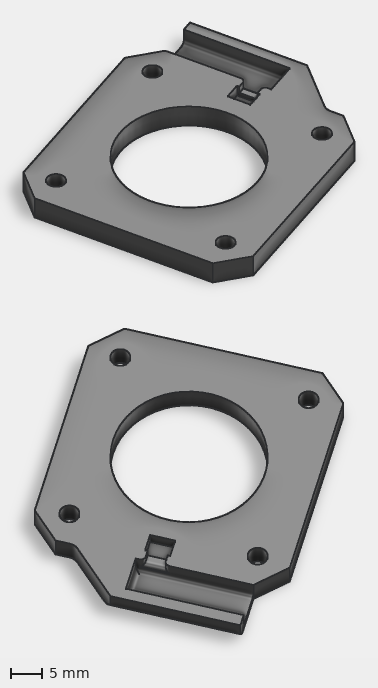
import cadquery as cq

plate_side = 42.0
plate_half = plate_side / 2
thickness = 4.0
corner_chamfer = 4.7
bore_diameter = 25.0
screw_hole_diameter = 3.2
screw_hole_spacing = 31.0

total_length = 50.0
tab_depth = total_length - plate_side
tab_left = corner_chamfer - plate_half
tab_top = plate_half + tab_depth
tab_right = 5.1
tab_slope_end = tab_right + tab_depth
slope_blend_radius = 2.0
tab_bottom_radius = 2.0

channel_right = 3.1
channel_width = 6.0
channel_floor = 1.0
channel_floor_radius = 1.0

neck_width = 3.3
neck_length = 1.9
neck_floor = 2.7
neck_lip_radius = 1.0
neck_mouth_radius = 0.8
seat_width = 4.15
seat_length = 3.05
seat_floor = 1.95


def box_between(x_min, x_max, y_min, y_max, z_min, z_max):
    """Box given by its limits along each axis."""
    return cq.Workplane("XY").box(
        x_max - x_min, y_max - y_min, z_max - z_min, centered=False
    ).translate((x_min, y_min, z_min))


def make_plate():
    return (
        cq.Workplane("XY")
        .rect(plate_side, plate_side)
        .extrude(thickness)
        .edges("|Z")
        .chamfer(corner_chamfer)
    )


def make_tab():
    return (
        cq.Workplane("XY")
        .moveTo(tab_left, plate_half)
        .lineTo(tab_left, tab_top)
        .lineTo(tab_right, tab_top)
        .lineTo(tab_slope_end, plate_half)
        .close()
        .extrude(thickness)
        .edges(">Y and <Z")
        .fillet(tab_bottom_radius)
    )


def make_channel():
    cutter = box_between(
        tab_left - channel_width, channel_right,
        plate_half, plate_half + channel_width,
        channel_floor, thickness,
    )
    return cutter.edges("<Z").fillet(channel_floor_radius)


def make_neck():
    half_width = neck_width / 2
    mouth_half = half_width + neck_mouth_radius
    neck_end = plate_half - neck_length
    plan = (
        cq.Workplane("XY")
        .moveTo(-half_width, neck_end)
        .lineTo(-half_width, plate_half - neck_mouth_radius)
        .radiusArc((-mouth_half, plate_half), -neck_mouth_radius)
        .lineTo(mouth_half, plate_half)
        .radiusArc((half_width, plate_half - neck_mouth_radius), -neck_mouth_radius)
        .lineTo(half_width, neck_end)
        .close()
        .extrude(thickness)
    )
    floor_profile = (
        cq.Workplane("YZ")
        .moveTo(neck_end, thickness)
        .lineTo(neck_end, neck_floor)
        .lineTo(plate_half - neck_lip_radius, neck_floor)
        .radiusArc((plate_half, neck_floor - neck_lip_radius), neck_lip_radius)
        .lineTo(plate_half, thickness)
        .close()
        .extrude(mouth_half, both=True)
    )
    return plan.intersect(floor_profile)


def make_seat():
    seat_top = plate_half - neck_length
    return box_between(
        -seat_width / 2, seat_width / 2, seat_top - seat_length, seat_top, seat_floor, thickness
    )


body = make_plate().union(make_tab())
body = body.edges(
    cq.selectors.NearestToPointSelector((tab_slope_end, plate_half, thickness / 2))
).fillet(slope_blend_radius)

bore = cq.Workplane("XY").circle(bore_diameter / 2).extrude(thickness)
screw_holes = (
    cq.Workplane("XY")
    .rect(screw_hole_spacing, screw_hole_spacing, forConstruction=True)
    .vertices()
    .circle(screw_hole_diameter / 2)
    .extrude(thickness)
)

result = body.cut(bore).cut(screw_holes).cut(make_channel()).cut(make_neck()).cut(make_seat())